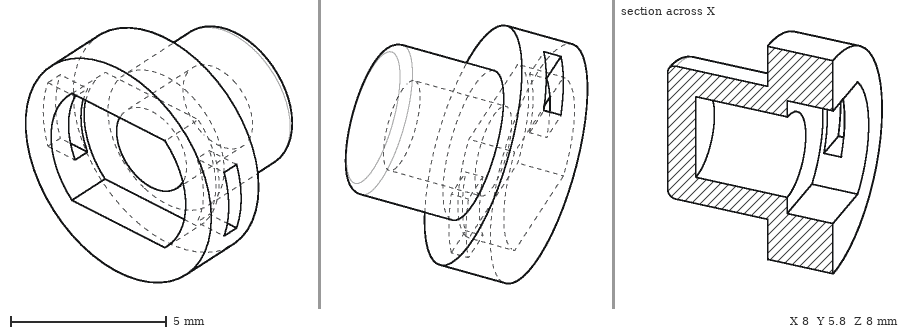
import cadquery as cq

flange_diameter = 8
total_length = 5.8
flange_thickness = 2.3
stem_diameter = 5.0
stem_edge_radius = 0.3

recess_diameter = 5.8
recess_height = 4.2
recess_depth = 1.6

bore_diameter = 3.0
end_wall = 1.0

window_start = 0.85
window_width = 0.6
window_height = 2.5


def cylinder(diameter, start, end):
    """Solid cylinder on the part axis between two Y positions."""
    plane = cq.Workplane("XZ", origin=(0, start, 0))
    return plane.circle(diameter / 2).extrude(start - end)


def make_body():
    flange = cylinder(flange_diameter, 0, flange_thickness)
    stem = cylinder(stem_diameter, 0, total_length)
    stem = stem.faces(">Y").edges().fillet(stem_edge_radius)
    return flange.union(stem)


def make_recess():
    round_recess = cylinder(recess_diameter, 0, recess_depth)
    flats = cq.Workplane("XY").box(recess_diameter, 2 * recess_depth, recess_height)
    return round_recess.intersect(flats)


def make_window():
    window = cq.Workplane("XY").box(flange_diameter, window_width, window_height)
    return window.translate((0, window_start + window_width / 2, 0))


bore = cylinder(bore_diameter, 0, total_length - end_wall)
result = make_body().cut(make_recess()).cut(bore).cut(make_window())